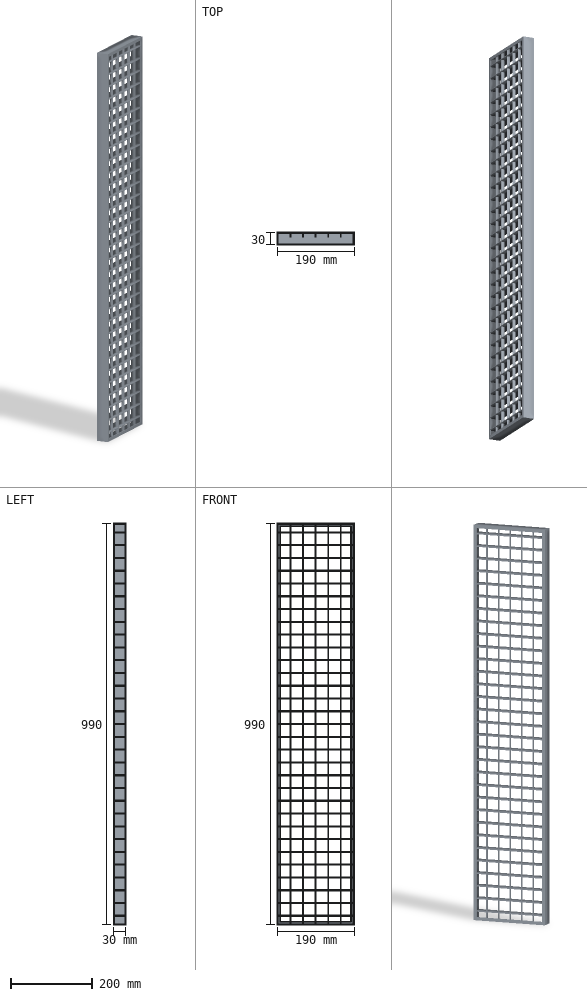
import cadquery as cq

WIDTH = 190.0
DEPTH = 30.0
HEIGHT = 990.0

FRAME_THICKNESS = 2.0
FLANGE_WIDTH = 8.0

MESH_OPENING = 30.0

BEARING_COUNT = 31
BEARING_THICKNESS = 1.5
BEARING_PITCH = MESH_OPENING + BEARING_THICKNESS

CROSS_COUNT = 5
CROSS_THICKNESS = 1.0
CROSS_PITCH = MESH_OPENING + CROSS_THICKNESS
CROSS_DEPTH = 8.0

INNER_WIDTH = WIDTH - 2 * FRAME_THICKNESS
INNER_HEIGHT = HEIGHT - 2 * FRAME_THICKNESS
FRONT_Y = -DEPTH / 2
REAR_Y = DEPTH / 2
FLANGE_FRONT_Y = REAR_Y - FRAME_THICKNESS


def block(width, height, front_y, rear_y):
    """Box centred in X and Z that spans the given Y range."""
    middle_y = (front_y + rear_y) / 2
    return cq.Workplane("XY").box(width, rear_y - front_y, height).translate((0, middle_y, 0))


def centered_positions(count, pitch):
    """Evenly spaced positions, symmetric about zero."""
    return [(i - (count - 1) / 2) * pitch for i in range(count)]


def frame():
    """Thin outer wall with an inward flange at the rear."""
    outer = block(WIDTH, HEIGHT, FRONT_Y, REAR_Y)
    front_recess = block(INNER_WIDTH, INNER_HEIGHT, FRONT_Y, FLANGE_FRONT_Y)
    window = block(WIDTH - 2 * FLANGE_WIDTH, HEIGHT - 2 * FLANGE_WIDTH, FRONT_Y, REAR_Y)
    return outer.cut(front_recess).cut(window)


def bearing_bars():
    """Horizontal strips stacked along Z, reaching from wall to wall."""
    bar = block(INNER_WIDTH, BEARING_THICKNESS, FRONT_Y, REAR_Y)
    return [bar.translate((0, 0, z)).val() for z in centered_positions(BEARING_COUNT, BEARING_PITCH)]


def cross_bars():
    """Vertical strips spaced along X, lying against the front of the flange."""
    bar = block(CROSS_THICKNESS, INNER_HEIGHT, FLANGE_FRONT_Y - CROSS_DEPTH, FLANGE_FRONT_Y)
    return [bar.translate((x, 0, 0)).val() for x in centered_positions(CROSS_COUNT, CROSS_PITCH)]


grating = frame().val().fuse(*bearing_bars(), *cross_bars())
result = cq.Workplane(obj=grating.Solids()[0])